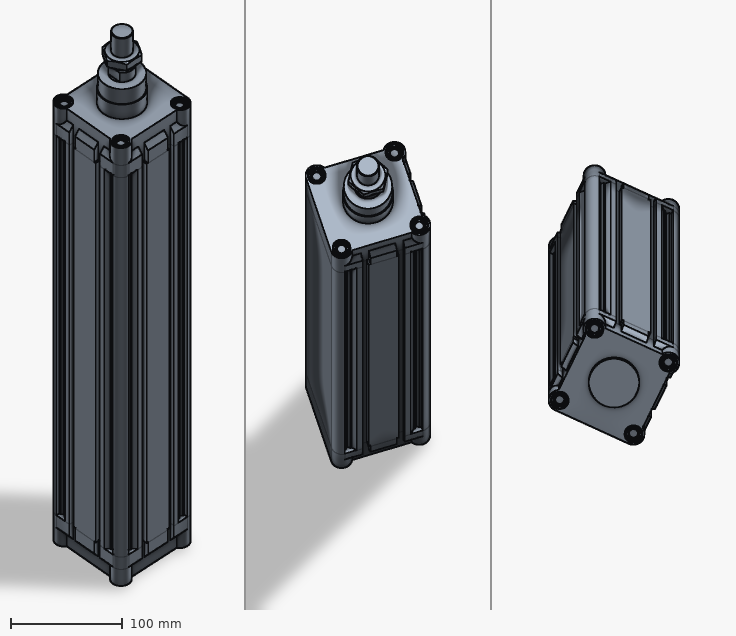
import cadquery as cq
import math

TOTAL_LENGTH = 618.0
REAR_BOSS_HEIGHT = 5.0
CAP_HEIGHT = 35.0
FRONT_FACE_Z = 532.0
COLLAR_TOP_Z = 549.5
FRONT_BOSS_TOP_Z = 567.5
NECK_BOTTOM_Z = 578.5
NECK_TOP_Z = 584.0
REAR_JOINT_Z = REAR_BOSS_HEIGHT + CAP_HEIGHT
FRONT_JOINT_Z = FRONT_FACE_Z - CAP_HEIGHT
TUBE_LENGTH = FRONT_JOINT_Z - REAR_JOINT_Z

WIDTH = 93.0
HALF = WIDTH / 2
POST_RADIUS = 10.0
POST_OFFSET = HALF - POST_RADIUS

RECESS_DEPTH = 5.0
PAD_HEIGHT = 15.0
PAD_SLOPE_HEIGHT = 6.0
MIDDLE_PAD_HALF_WIDTH = 12.5
SIDE_PAD_INNER = 20.0

SLOT_INNER = 14.0
SLOT_OUTER = SIDE_PAD_INNER
GROOVE_INNER = 25.5
GROOVE_OUTER = POST_OFFSET
GROOVE_DEPTH = 4.0
CHANNEL_OFFSET = 32.45
CHANNEL_WIDTH = 4.5
CHANNEL_DEPTH = 2.0

BOSS_DIAMETER = 43.0
COLLAR_DIAMETER = 45.0
SCREW_STEPS = ((16.0, 0.5), (15.0, 1.0), (12.0, 2.0), (8.5, 2.5), (8.0, 3.0))

ROD_DIAMETER = 25.0
ROD_FLATS = 20.0
THREAD_DIAMETER = 20.0
NECK_DIAMETER = 18.5
TIP_CHAMFER = 0.5
NUT_BOTTOM_Z = 585.0
NUT_HEIGHT = 9.0
NUT_ACROSS_FLATS = 32.0
NUT_CHAMFER_DIAMETER = 31.0
NUT_CHAMFER_ANGLE = 20

RECESSED_SIDE_ANGLES = (-90, 0, 90)
CORNERS = [(x, y) for x in (-POST_OFFSET, POST_OFFSET) for y in (-POST_OFFSET, POST_OFFSET)]


def cylinder(diameter, bottom, top):
    return cq.Workplane("XY").workplane(offset=bottom).circle(diameter / 2).extrude(top - bottom)


def rounded_square(height):
    return cq.Workplane("XY").rect(WIDTH, WIDTH).extrude(height).edges("|Z").fillet(POST_RADIUS)


def box_between(x0, x1, y0, y1, z0, z1):
    return cq.Workplane("XY").box(x1 - x0, y1 - y0, z1 - z0, centered=False).translate((x0, y0, z0))


def about_z(body, angle):
    return body.rotate((0, 0, 0), (0, 0, 1), angle)


def turned(x, y, angle):
    """Point (x, y) turned about the Z axis by an angle in degrees."""
    a = math.radians(angle)
    return (x * math.cos(a) - y * math.sin(a), x * math.sin(a) + y * math.cos(a))


def cap_section():
    """Outline with round corner posts, recessed between them on the -X, -Y and +X sides."""
    floor = -HALF + RECESS_DEPTH
    rise = POST_RADIUS - RECESS_DEPTH
    post_edge = POST_OFFSET - math.sqrt(POST_RADIUS**2 - rise**2)
    diagonal = POST_OFFSET + POST_RADIUS * math.sqrt(0.5)

    outline = cq.Workplane("XY").moveTo(-POST_OFFSET, HALF)
    outline = outline.threePointArc((-diagonal, diagonal), turned(-post_edge, floor, -90))
    for angle in RECESSED_SIDE_ANGLES:
        outline = outline.lineTo(*turned(post_edge, floor, angle))
        if angle != RECESSED_SIDE_ANGLES[-1]:
            outline = outline.threePointArc(
                turned(diagonal, -diagonal, angle), turned(-post_edge, floor, angle + 90)
            )
    return outline.threePointArc((diagonal, diagonal), (POST_OFFSET, HALF)).close()


def pad_slope(x0, x1):
    """Sloping top of a pad on the -Y side, from the pad face back to the recess floor."""
    floor = -HALF + RECESS_DEPTH
    outline = [(-HALF, PAD_HEIGHT), (floor, PAD_HEIGHT + PAD_SLOPE_HEIGHT), (floor, PAD_HEIGHT)]
    return cq.Workplane("YZ").workplane(offset=x0).polyline(outline).close().extrude(x1 - x0)


def pad_gap(x0, x1):
    """Gap between two pads on the -Y side, down to the recess floor."""
    return box_between(x0, x1, -HALF, -HALF + RECESS_DEPTH, 0, PAD_HEIGHT)


def corner_screw():
    """Stepped round pockets of a corner screw, cut down from the outer cap face."""
    pockets = cq.Workplane("XY")
    for diameter, depth in SCREW_STEPS:
        pockets = pockets.union(cylinder(diameter, CAP_HEIGHT - depth, CAP_HEIGHT))
    return pockets


def end_cap():
    """Front end cap standing on z = 0; the rear cap is its mirror image."""
    cap = cap_section().extrude(CAP_HEIGHT).union(rounded_square(PAD_HEIGHT))
    for angle in RECESSED_SIDE_ANGLES:
        for x0, x1 in (
            (-POST_OFFSET, -SIDE_PAD_INNER),
            (-MIDDLE_PAD_HALF_WIDTH, MIDDLE_PAD_HALF_WIDTH),
            (SIDE_PAD_INNER, POST_OFFSET),
        ):
            cap = cap.union(about_z(pad_slope(x0, x1), angle))
        for x0, x1 in (
            (-SIDE_PAD_INNER, -MIDDLE_PAD_HALF_WIDTH),
            (MIDDLE_PAD_HALF_WIDTH, SIDE_PAD_INNER),
        ):
            cap = cap.cut(about_z(pad_gap(x0, x1), angle))
    for x, y in CORNERS:
        cap = cap.cut(corner_screw().translate((x, y, 0)))
    return cap


def tube_slot(side):
    width = SLOT_OUTER - SLOT_INNER
    middle = side * (SLOT_OUTER + SLOT_INNER) / 2
    return cq.Workplane("XY").center(middle, -HALF).rect(width, 2 * RECESS_DEPTH)


def tube_groove(side):
    """Groove beside a corner post: sloping inner wall, V-channel in the floor, upright outer wall."""
    floor = -HALF + GROOVE_DEPTH
    outline = [
        (side * GROOVE_INNER, -HALF),
        (side * (GROOVE_INNER + GROOVE_DEPTH), floor),
        (side * (CHANNEL_OFFSET - CHANNEL_WIDTH / 2), floor),
        (side * CHANNEL_OFFSET, floor + CHANNEL_DEPTH),
        (side * (CHANNEL_OFFSET + CHANNEL_WIDTH / 2), floor),
        (side * GROOVE_OUTER, floor),
        (side * GROOVE_OUTER, -HALF),
    ]
    return cq.Workplane("XY").polyline(outline).close()


def profile_tube():
    """Tube standing on z = 0."""
    tube = rounded_square(TUBE_LENGTH)
    for angle in RECESSED_SIDE_ANGLES:
        for side in (-1, 1):
            for section in (tube_slot(side), tube_groove(side)):
                tube = tube.cut(about_z(section.extrude(TUBE_LENGTH), angle))
    return tube


def make_housing():
    front_cap = end_cap().translate((0, 0, FRONT_JOINT_Z))
    rear_cap = end_cap().mirror("XY").translate((0, 0, REAR_JOINT_Z))
    front_cap = front_cap.union(cylinder(COLLAR_DIAMETER, FRONT_FACE_Z, COLLAR_TOP_Z))
    front_cap = front_cap.union(cylinder(BOSS_DIAMETER, COLLAR_TOP_Z, FRONT_BOSS_TOP_Z))
    front_cap = front_cap.cut(cylinder(ROD_DIAMETER, FRONT_JOINT_Z, FRONT_BOSS_TOP_Z))
    rear_cap = rear_cap.union(cylinder(COLLAR_DIAMETER, 0, REAR_BOSS_HEIGHT))
    tube = profile_tube().translate((0, 0, REAR_JOINT_Z))
    return tube.union(front_cap, clean=False).union(rear_cap, clean=False)


def make_rod():
    shank = cylinder(ROD_DIAMETER, FRONT_JOINT_Z, NECK_BOTTOM_Z)
    flat_depth = (ROD_DIAMETER - ROD_FLATS) / 2
    for y0 in (-ROD_DIAMETER / 2, ROD_FLATS / 2):
        shank = shank.cut(
            box_between(-ROD_DIAMETER, ROD_DIAMETER, y0, y0 + flat_depth, FRONT_BOSS_TOP_Z, NECK_BOTTOM_Z)
        )
    neck = cylinder(NECK_DIAMETER, NECK_BOTTOM_Z, NECK_TOP_Z)
    thread = cylinder(THREAD_DIAMETER, NECK_TOP_Z, TOTAL_LENGTH).faces(">Z").chamfer(TIP_CHAMFER)
    return shank.union(neck).union(thread)


def make_nut():
    across_corners = NUT_ACROSS_FLATS / math.cos(math.pi / 6)
    hexagon = cq.Workplane("XY").polygon(6, across_corners).extrude(NUT_HEIGHT)
    hexagon = about_z(hexagon, 90).translate((0, 0, NUT_BOTTOM_Z))
    rim_radius = across_corners / 2
    flat_radius = NUT_CHAMFER_DIAMETER / 2
    drop = (rim_radius - flat_radius) * math.tan(math.radians(NUT_CHAMFER_ANGLE))
    top = NUT_BOTTOM_Z + NUT_HEIGHT
    half_profile = [
        (0, NUT_BOTTOM_Z),
        (flat_radius, NUT_BOTTOM_Z),
        (rim_radius, NUT_BOTTOM_Z + drop),
        (rim_radius, top - drop),
        (flat_radius, top),
        (0, top),
    ]
    chamfered_blank = cq.Workplane("XZ").polyline(half_profile).close().revolve(360, (0, 0, 0), (0, 1, 0))
    nut = hexagon.intersect(chamfered_blank)
    return nut.cut(cylinder(THREAD_DIAMETER, NUT_BOTTOM_Z, top))


housing = make_housing()
rod = make_rod()
nut = make_nut()

result = cq.Compound.makeCompound([housing.solids().val(), rod.solids().val(), nut.solids().val()])